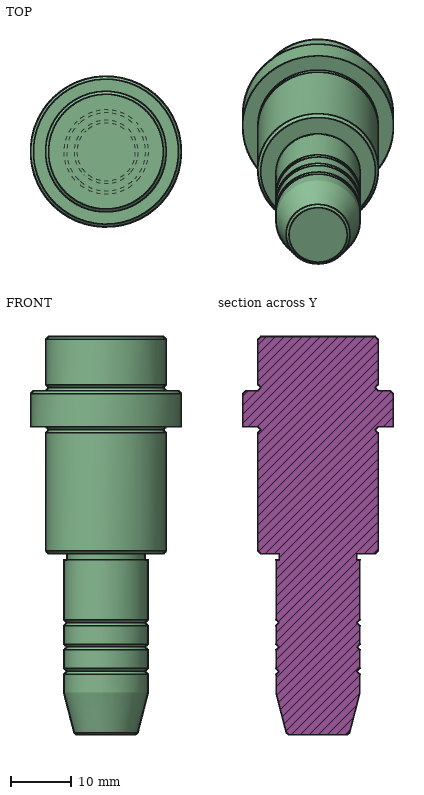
import cadquery as cq

total_length = 66.0
body_radius = 10.0
collar_radius = 12.51
shank_radius = 7.0
neck_radius = 6.5
nose_tip_radius = 4.8

edge_chamfer = 0.495
tip_chamfer_width = 0.45
tip_chamfer_height = 0.3
groove_width = 1.0
groove_depth = groove_width / 2

nose_length = 7.0
body_bottom = 29.95
shank_top = body_bottom - groove_width
collar_bottom = 51.0
collar_top = 57.0
barb_pitch = 4.0
barb_grooves = 3
lowest_groove_bottom = nose_length + 3.05


def turned_section(bottom, top, radius):
    """Solid cylinder about Z between two levels."""
    return cq.Workplane("XY", origin=(0, 0, bottom)).circle(radius).extrude(top - bottom)


def groove_cutter(bottom, radius):
    """Ring with a V-shaped inner edge that cuts a groove into a cylinder."""
    top = bottom + groove_width
    outer_radius = collar_radius + groove_width
    profile = [
        (radius, bottom),
        (radius - groove_depth, bottom + groove_width / 2),
        (radius, top),
        (outer_radius, top),
        (outer_radius, bottom),
    ]
    return cq.Workplane("XZ").polyline(profile).close().revolve(360, (0, 0, 0), (0, 1, 0))


nose_profile = [
    (0, 0),
    (nose_tip_radius, 0),
    (nose_tip_radius + tip_chamfer_width, tip_chamfer_height),
    (shank_radius, nose_length),
    (0, nose_length),
]
nose = cq.Workplane("XZ").polyline(nose_profile).close().revolve(360, (0, 0, 0), (0, 1, 0))

shank = turned_section(nose_length, shank_top, shank_radius)
for index in range(barb_grooves):
    shank = shank.cut(groove_cutter(lowest_groove_bottom + index * barb_pitch, shank_radius))
neck = turned_section(shank_top, body_bottom, neck_radius)

body = turned_section(body_bottom, total_length, body_radius)
body = body.faces("<Z or >Z").chamfer(edge_chamfer)
for groove_bottom in (collar_bottom - groove_width, collar_top):
    body = body.cut(groove_cutter(groove_bottom, body_radius))

collar = turned_section(collar_bottom, collar_top, collar_radius)
collar = collar.faces(">Z").chamfer(edge_chamfer)

result = nose.union(shank).union(neck).union(body).union(collar)